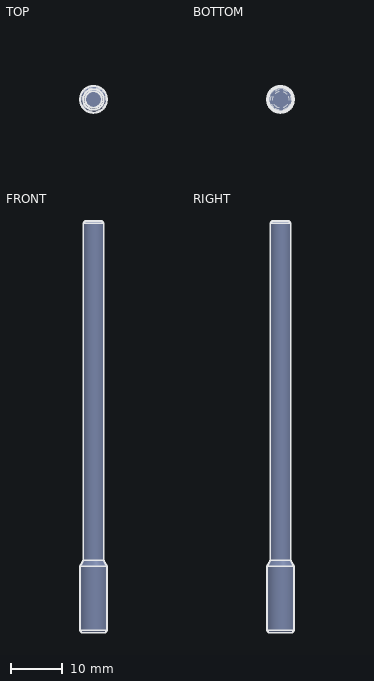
import cadquery as cq

total_length = 80.0
shank_diameter = 4.0
head_diameter = 5.3
head_length = 14.1
shoulder_height = 1.1
shank_chamfer = 0.4
head_chamfer_height = 0.5
head_chamfer_width = 0.3

shank_length = total_length - head_length


def make_head():
    """Thick lower cylinder, tapering at its top to the shank diameter."""
    outer_radius = head_diameter / 2
    profile = (
        cq.Workplane("XZ")
        .lineTo(outer_radius - head_chamfer_width, 0)
        .lineTo(outer_radius, head_chamfer_height)
        .lineTo(outer_radius, head_length - shoulder_height)
        .lineTo(shank_diameter / 2, head_length)
        .lineTo(0, head_length)
        .close()
    )
    return profile.revolve(360, (0, 0, 0), (0, 1, 0))


def make_shank():
    """Long slim rod standing on the head, with a chamfered free end."""
    rod = cq.Workplane("XY").workplane(offset=head_length).circle(shank_diameter / 2).extrude(shank_length)
    return rod.faces(">Z").chamfer(shank_chamfer)


head = make_head()
shank = make_shank()

result = cq.Compound.makeCompound([head.val(), shank.val()])